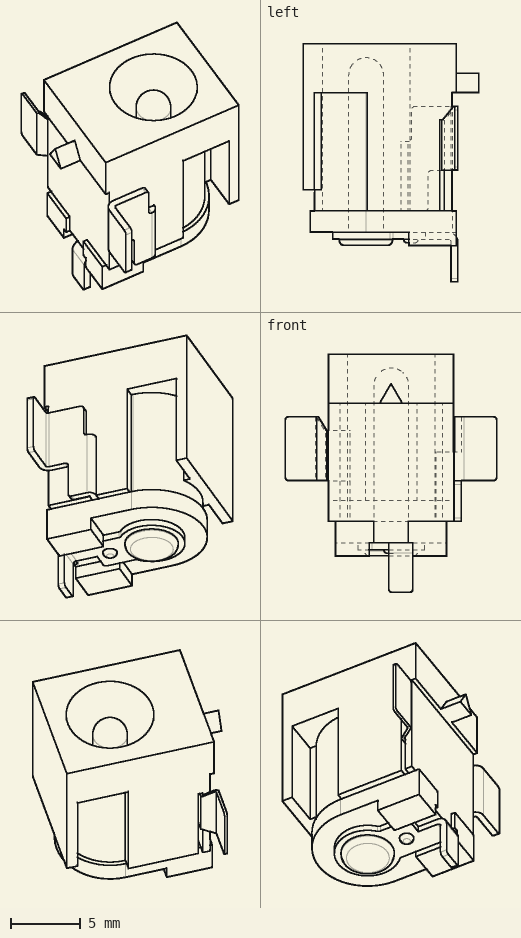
import cadquery as cq
import math


total_width = 15.2
total_depth = 17.1
foot_front = 6.6
foot_corner_radius = 0.25

housing_width = 9.0
housing_half = housing_width / 2
head_depth = 3.5
head_front = 6.5
body_front = 6.19
body_back = 0.1
body_depth = 12.0
barrel_radius = 3.7
back_plate_depth = 10.5
web_width = barrel_radius
base_radius = 4.0
base_depth = 13.53
base_notch_width = 2.5
block_back = 3.1
block_depth = 14.5
channel_width = 3.15
bore_diameter = 6.3
key_side = 1.6

pin_diameter = 2.5
pin_tip_depth = 0.97
tag_thickness = 0.5
washer_radius = 2.4
washer_neck_radius = 0.27
tag_neck_front = 4.28
tag_neck_corner = 0.2
tag_width = 1.75
tag_bend_radius = 0.74
rivet_radius = 1.92
rivet_height = 0.46
rivet_edge_radius = 0.38
pip_radius = 0.51
pip_front = 3.21
pip_height = 0.27
pip_edge_radius = 0.25

foot_top_depth = 4.48
foot_bottom_depth = 9.08

strip_thickness = 0.2
strip_front = 5.65
strip_bend_low = 5.34
strip_bend_high = 4.62
strip_chamfer_offset = 0.2
strip_top_depth = 5.45
slot_width = 0.32
slot_length = 1.54

sleeve_thickness = 0.5
sleeve_gap = 0.05
sleeve_back = 2.5
sleeve_tab_depth = 7.01
sleeve_tab_front = 4.45
sleeve_tab_length = 1.28
sleeve_step_radius = 0.25
sleeve_wall_front = sleeve_back + sleeve_thickness + sleeve_step_radius
sleeve_bend_inner_radius = 0.17


def block(x_min, x_max, y_min, y_max, z_min, z_max):
    return (
        cq.Workplane("XY")
        .box(x_max - x_min, y_max - y_min, z_max - z_min, centered=False)
        .translate((x_min, y_min, z_min))
    )


def centred_block(width, y_min, y_max, z_min, z_max):
    return block(-width / 2, width / 2, y_min, y_max, z_min, z_max)


def disc(radius, z_min, z_max):
    return cq.Workplane("XY").workplane(offset=z_min).circle(radius).extrude(z_max - z_min)


def switch_slot():
    """Slot for the switch contact, open at the side and at the bottom of the body."""
    return block(
        -housing_half, -housing_half + slot_length,
        -strip_front, -strip_front + slot_width,
        -body_depth, -strip_top_depth,
    )


def sleeve_pocket():
    """Pocket that the tab of the sleeve contact fills."""
    return block(
        housing_half - sleeve_tab_length, housing_half,
        -sleeve_back - sleeve_thickness, -sleeve_back,
        -body_depth, -sleeve_tab_depth,
    )


def make_key():
    """Triangular locating key at the lower edge of the head."""
    key_height = key_side * math.sqrt(3) / 2
    return (
        cq.Workplane("XZ", origin=(0, -body_front, 0))
        .polyline([
            (-key_side / 2, -head_depth),
            (key_side / 2, -head_depth),
            (0, key_height - head_depth),
        ])
        .close()
        .extrude(head_front + key_side - body_front)
    )


def make_base():
    """Rounded base plate with two standing blocks at its front."""
    base = disc(base_radius, -base_depth, -body_depth)
    base = base.union(centred_block(2 * base_radius, -head_front, 0, -base_depth, -body_depth))
    base = base.union(
        centred_block(2 * base_radius, -head_front, -block_back, -block_depth, -base_depth)
    )
    notch = centred_block(base_notch_width, -head_front, -body_front, -base_depth, -body_depth)
    channel = centred_block(channel_width, -head_front, -block_back, -block_depth, -base_depth)
    return base.cut(notch).cut(channel)


def make_housing():
    head = centred_block(housing_width, -head_front, housing_half, -head_depth, 0)
    body = centred_block(housing_width, -body_front, -body_back, -body_depth, -head_depth)
    barrel = disc(barrel_radius, -body_depth, -head_depth)
    barrel = barrel.union(centred_block(2 * barrel_radius, -body_back, 0, -body_depth, -head_depth))
    back_plate = centred_block(
        housing_width, barrel_radius, housing_half, -back_plate_depth, -head_depth
    )
    web = centred_block(web_width, 0, barrel_radius, -back_plate_depth, -head_depth)
    housing = head.union(body).union(barrel).union(back_plate).union(web)
    housing = housing.union(make_base()).union(make_key())
    housing = housing.cut(disc(bore_diameter / 2, -body_depth, 0))
    housing = housing.cut(disc(pin_diameter / 2, -base_depth, -body_depth))
    housing = housing.cut(switch_slot())
    return housing.cut(sleeve_pocket())


def make_pin():
    radius = pin_diameter / 2
    dome_depth = pin_tip_depth + radius
    mid_arc = radius * math.sqrt(0.5)
    return (
        cq.Workplane("XZ")
        .moveTo(0, -base_depth)
        .lineTo(radius, -base_depth)
        .lineTo(radius, -dome_depth)
        .threePointArc((mid_arc, mid_arc - dome_depth), (0, -pin_tip_depth))
        .close()
        .revolve(360, (0, 0, 0), (0, 1, 0))
    )


def make_washer():
    """Round plate under the pin, with a neck running forward into the tag."""
    bottom = -base_depth - tag_thickness
    neck = centred_block(channel_width, -tag_neck_front, 0, bottom, -base_depth)
    neck = neck.edges("|Z and <X and <Y").fillet(tag_neck_corner)
    washer = disc(washer_radius, bottom, -base_depth).union(neck)

    neck_side = channel_width / 2
    join_y = -math.sqrt(washer_radius**2 - neck_side**2)
    reach = 0.02
    join_edges = cq.selectors.BoxSelector(
        (-neck_side - reach, join_y - reach, bottom - reach),
        (neck_side + reach, join_y + reach, -base_depth + reach),
    )
    return washer.edges("|Z").edges(join_edges).fillet(washer_neck_radius)


def make_tag():
    """Bent strip that runs forward under the base and then straight down."""
    right = channel_width / 2
    left = right - tag_width
    flat = block(left, right, -foot_front, 0, -base_depth - tag_thickness, -base_depth)
    leg = block(left, right, -foot_front, -foot_front + tag_thickness, -total_depth, -base_depth)
    leg = leg.edges("|Y and <Z").fillet(foot_corner_radius)
    tag = flat.union(leg)
    tag = tag.edges("|X and <Y and >Z").fillet(tag_bend_radius)
    inner_bend = cq.selectors.NearestToPointSelector(
        (left + tag_width / 2, -foot_front + tag_thickness, -base_depth - tag_thickness)
    )
    return tag.edges("|X").edges(inner_bend).fillet(tag_bend_radius - tag_thickness)


def make_pin_contact():
    bottom = -base_depth - tag_thickness
    rivet = disc(rivet_radius, bottom - rivet_height, bottom)
    rivet = rivet.faces("<Z").edges().fillet(rivet_edge_radius)
    pip = disc(pip_radius, bottom - pip_height, bottom)
    pip = pip.faces("<Z").edges().fillet(pip_edge_radius)
    pip = pip.translate((0, -pip_front, 0))
    return make_pin().union(make_washer()).union(make_tag()).union(rivet).union(pip)


def make_switch_contact():
    slope_run = strip_bend_low - strip_bend_high
    slope_rise = foot_front - strip_front
    slope_length = math.hypot(slope_run, slope_rise)
    bend_angle = math.atan2(slope_rise, slope_run)
    mitre = strip_thickness * math.tan(bend_angle / 2)
    slot_end = -housing_half + slot_length
    strip = (
        cq.Workplane("XY")
        .workplane(offset=-foot_bottom_depth)
        .polyline([
            (-total_width / 2, -foot_front),
            (-strip_bend_low, -foot_front),
            (-strip_bend_high, -strip_front),
            (slot_end, -strip_front),
            (slot_end, -strip_front + strip_thickness),
            (-strip_bend_high - mitre, -strip_front + strip_thickness),
            (-strip_bend_low - mitre, -foot_front + strip_thickness),
            (-total_width / 2, -foot_front + strip_thickness),
        ])
        .close()
        .extrude(foot_bottom_depth - foot_top_depth)
    )
    strip = strip.edges("|Y and <X").fillet(foot_corner_radius)

    slope_plane = cq.Plane(
        origin=(-strip_bend_low, -foot_front, 0),
        xDir=(math.cos(bend_angle), math.sin(bend_angle), 0),
        normal=(math.sin(bend_angle), -math.cos(bend_angle), 0),
    )
    corner_cut = (
        cq.Workplane(slope_plane)
        .polyline([
            (strip_chamfer_offset, -foot_top_depth),
            (slope_length, -strip_top_depth),
            (slope_length + slot_length, -strip_top_depth),
            (slope_length + slot_length, -foot_top_depth),
        ])
        .close()
        .extrude(foot_front, both=True)
    )
    return strip.cut(corner_cut)


def make_sleeve_contact():
    inner_x = housing_half + sleeve_gap
    outer_x = inner_x + sleeve_thickness
    tab_x = housing_half - sleeve_tab_length
    foot_x = total_width / 2
    foot_back = -foot_front + sleeve_thickness
    strip = (
        cq.Workplane("XY")
        .workplane(offset=-body_depth)
        .polyline([
            (tab_x, -sleeve_back),
            (outer_x, -sleeve_back),
            (outer_x, foot_back),
            (foot_x, foot_back),
            (foot_x, -foot_front),
            (inner_x, -foot_front),
            (inner_x, -sleeve_back - sleeve_thickness),
            (tab_x, -sleeve_back - sleeve_thickness),
        ])
        .close()
        .extrude(body_depth - foot_top_depth)
    )
    mid_z = -(body_depth + foot_top_depth) / 2
    bends = [
        (outer_x, -sleeve_back, sleeve_thickness),
        (outer_x, foot_back, sleeve_bend_inner_radius),
        (inner_x, -foot_front, sleeve_bend_inner_radius + sleeve_thickness),
    ]
    for x, y, radius in bends:
        bend_edge = cq.selectors.NearestToPointSelector((x, y, mid_z))
        strip = strip.edges("|Z").edges(bend_edge).fillet(radius)

    steps = [
        (-sleeve_wall_front, -foot_top_depth),
        (-sleeve_wall_front, -sleeve_tab_depth),
        (-sleeve_tab_front, -body_depth),
        (-sleeve_tab_front, -foot_bottom_depth),
    ]
    outline = (
        cq.Workplane("YZ")
        .polyline([
            (-foot_front, -foot_top_depth),
            steps[0],
            steps[1],
            (-sleeve_back, -sleeve_tab_depth),
            (-sleeve_back, -body_depth),
            steps[2],
            steps[3],
            (-foot_front, -foot_bottom_depth),
        ])
        .close()
        .extrude(foot_x)
    )
    for y, z in steps:
        step_edge = cq.selectors.NearestToPointSelector((foot_x / 2, y, z))
        outline = outline.edges("|X").edges(step_edge).fillet(sleeve_step_radius)
    return strip.intersect(outline).edges("|Y and >X").fillet(foot_corner_radius)


housing = make_housing()
pin_contact = make_pin_contact()
switch_contact = make_switch_contact()
sleeve_contact = make_sleeve_contact()

result = cq.Compound.makeCompound([
    housing.solids().val(),
    pin_contact.solids().val(),
    switch_contact.solids().val(),
    sleeve_contact.solids().val(),
])